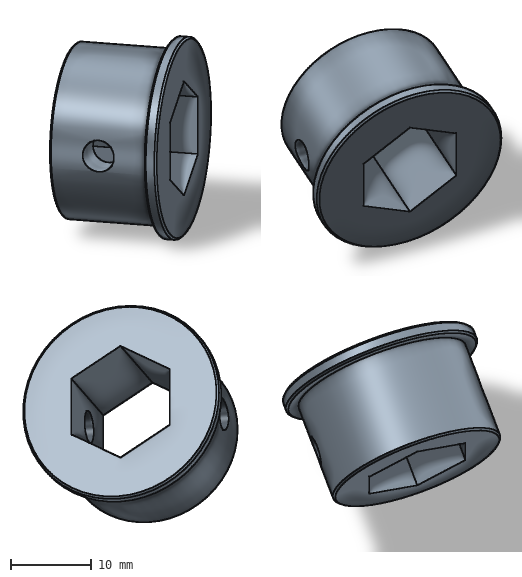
import cadquery as cq
import math

body_diameter = 22.225
body_length = 12.7
flange_diameter = 25.4
flange_thickness = 1.5875
edge_chamfer = 0.254
hex_across_flats = 12.75
pin_hole_diameter = 4.04

total_length = body_length + flange_thickness
hex_across_corners = hex_across_flats / math.cos(math.pi / 6)
pin_hole_x = body_length / 2


def chamfered_disc(diameter, start_x, length, chamfered_faces):
    """Cylinder along X with the rims of the selected end faces chamfered."""
    disc = cq.Workplane("YZ").workplane(offset=start_x).circle(diameter / 2).extrude(length)
    return disc.faces(chamfered_faces).edges().chamfer(edge_chamfer)


def hex_bore():
    """Through bore along X with corners pointing up and down."""
    return (
        cq.Workplane("YZ")
        .transformed(rotate=(0, 0, 90))
        .polygon(6, hex_across_corners)
        .extrude(total_length)
    )


def cross_pin_hole():
    """Hole along Y through both walls, midway along the body."""
    return (
        cq.Workplane("XZ")
        .center(pin_hole_x, 0)
        .circle(pin_hole_diameter / 2)
        .extrude(body_diameter / 2, both=True)
    )


body = chamfered_disc(body_diameter, 0, body_length, "<X")
flange = chamfered_disc(flange_diameter, body_length, flange_thickness, "<X or >X")

result = body.union(flange).cut(hex_bore()).cut(cross_pin_hole())